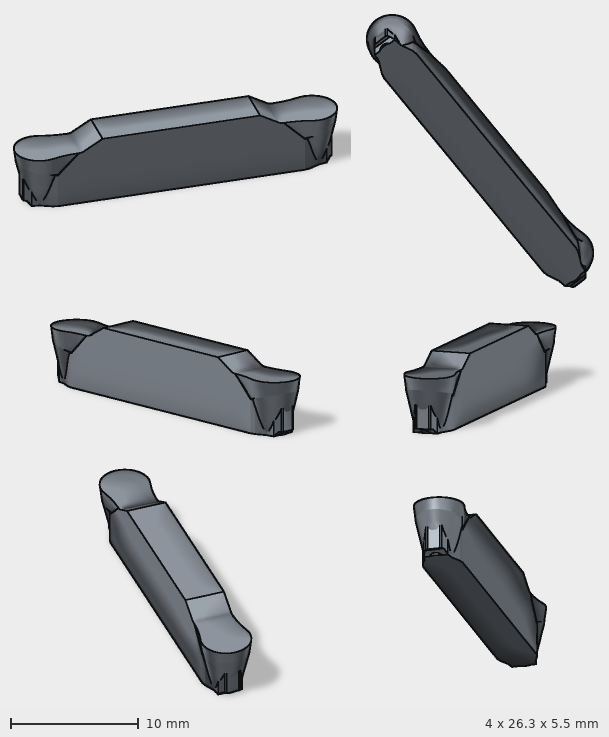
import cadquery as cq
import math

length = 26.3
height = 5.5
body_width = 3.23
half_length = length / 2
half_width = body_width / 2

rim_height = 4.52
nose_radius = 2.0
neck_radius = 7.9
head_draft = 7.0
head_root_inset = 6.84
body_end_inset = 3.02
body_end_height = 2.75

ramp_foot_inset = 5.02
ramp_top_inset = 6.7
ramp_blend_radius = 0.68

cone_inset = 2.05
cone_base_radius = 1.1
cone_top_radius = 2.15

band_tip_height = 3.7
band_slope = 0.3

foot_height = 2.75
rib_inset = 0.5
rib_half_width = 0.5
rib_edge_half_width = 0.65
rib_edge_inset = 0.55
rib_root_half_width = 1.0
rib_root_inset = 1.08
waist_half_width = 1.1
waist_inset = 1.7
shoulder_half_width = 1.52
shoulder_inset = 2.63
rib_lift = 0.4
rib_lift_inset = 0.74


def along(inset):
    """Y position of a point at the -Y end."""
    return inset - half_length


def make_body():
    """Flat-sided bar with ramps and undercut ends."""
    end_top_inset = body_end_inset + rim_height - body_end_height
    end_points = [
        (along(body_end_inset), 0),
        (along(body_end_inset), body_end_height),
        (along(end_top_inset), rim_height),
        (along(ramp_foot_inset), rim_height),
        (along(ramp_top_inset), height),
    ]
    far_points = [(-y, z) for y, z in reversed(end_points)]
    body = (
        cq.Workplane("YZ")
        .polyline(end_points + far_points)
        .close()
        .extrude(half_width, both=True)
    )
    for side in (1, -1):
        ramp_foot = (0, side * along(ramp_foot_inset), rim_height)
        ramp_edge = cq.selectors.NearestToPointSelector(ramp_foot)
        body = body.edges(ramp_edge).fillet(ramp_blend_radius)
    return body


def make_drafted_head():
    """Round nose with tangent concave necks, narrowing downwards."""
    neck_x = half_width + neck_radius
    centre_distance = nose_radius + neck_radius
    neck_angle = math.acos(neck_x / centre_distance)
    neck_inset = nose_radius + centre_distance * math.sin(neck_angle)
    tangent_x = nose_radius * math.cos(neck_angle)
    tangent_y = along(nose_radius + nose_radius * math.sin(neck_angle))
    mid_x = neck_x - neck_radius * math.cos(neck_angle / 2)
    mid_y = along(neck_inset - neck_radius * math.sin(neck_angle / 2))
    return (
        cq.Workplane("XY", origin=(0, 0, rim_height))
        .moveTo(half_width, along(head_root_inset))
        .lineTo(half_width, along(neck_inset))
        .threePointArc((mid_x, mid_y), (tangent_x, tangent_y))
        .threePointArc((0, -half_length), (-tangent_x, tangent_y))
        .threePointArc((-mid_x, mid_y), (-half_width, along(neck_inset)))
        .lineTo(-half_width, along(head_root_inset))
        .close()
        .extrude(-rim_height, taper=head_draft)
    )


def make_clearance_envelope():
    """Clearance cone joined to the space above the sloping draft band edge."""
    cone = cq.Workplane("XY").add(
        cq.Solid.makeCone(
            cone_base_radius, cone_top_radius, rim_height, pnt=cq.Vector(0, along(cone_inset), 0)
        )
    )
    band_root_height = band_tip_height - band_slope * head_root_inset
    band = (
        cq.Workplane("YZ")
        .polyline(
            [
                (along(0), band_tip_height),
                (along(head_root_inset), band_root_height),
                (along(head_root_inset), rim_height),
                (along(0), rim_height),
            ]
        )
        .close()
        .extrude(nose_radius, both=True)
    )
    return cone.union(band)


def make_foot():
    """Waisted foot with a narrow front rib and a lifted toe."""
    side_points = [
        (rib_half_width, along(rib_inset)),
        (rib_edge_half_width, along(rib_edge_inset)),
        (rib_root_half_width, along(rib_root_inset)),
        (waist_half_width, along(waist_inset)),
        (shoulder_half_width, along(shoulder_inset)),
        (half_width, along(body_end_inset)),
        (half_width, along(ramp_foot_inset)),
    ]
    mirrored_points = [(-x, y) for x, y in reversed(side_points)]
    foot = cq.Workplane("XY").polyline(side_points + mirrored_points).close().extrude(foot_height)
    toe = (
        cq.Workplane("YZ")
        .polyline(
            [
                (along(0), 0),
                (along(rib_root_inset), 0),
                (along(rib_lift_inset), rib_lift),
                (along(0), rib_lift),
            ]
        )
        .close()
        .extrude(half_width, both=True)
    )
    return foot.cut(toe)


head = make_drafted_head().intersect(make_clearance_envelope())
end = head.union(make_foot())
result = make_body().union(end).union(end.mirror("XZ"))